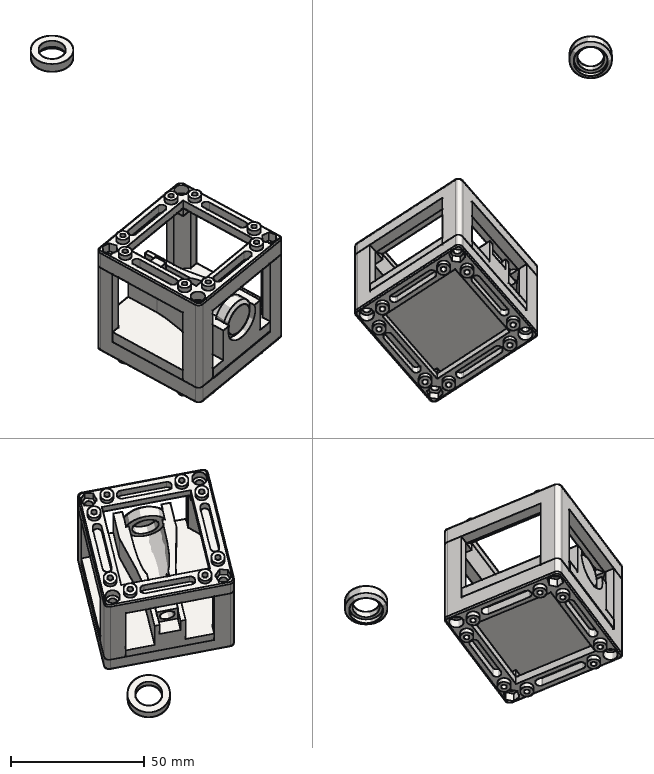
import cadquery as cq
import math

TOTAL_X = 116.6
TOTAL_Y = 53.8
TOTAL_Z = 87.7
CUBE = 49.9
BAR = 7.9
BAR_LIP = 4.0
POST_LIP = 3.5
CORNER_RADIUS = 2.0
EDGE_CHAMFER = 0.6
RECESS_DEPTH = 4.1

STUD_DIAMETER = 5.0
STUD_HOLE_DIAMETER = 2.1
STUD_HEIGHT = 2.2
STUD_SPREAD = 14.3
BAR_LINE = 20.6
SLOT_LENGTH = 21.0
SLOT_WIDTH = 3.5
SCREW_OFFSET = 21.2
SCREW_DIAMETER = 3.1
SCREW_HEAD_DIAMETER = 5.5
NUT_ACROSS_CORNERS = 6.1

PLATE_THICKNESS = 5.0
PLATE_CLEARANCE = 0.1
GUIDE_OVERHANG = 0.2
GUIDE_HEIGHT = 20.0
NARROW_HALF_WIDTH = 6.0
WIDE_HALF_WIDTH = 11.0
FLARE_START = 13.8
FLARE_BEND = 20.4
FLARE_END = 39.3

OPTICAL_AXIS_Z = 0.0
CHANNEL_WIDTH = 8.0
CHANNEL_FLOOR = 4.2
CHANNEL_END = 26.1
HOLDER_WIDTH = 8.3
HOLDER_TOP = 3.8
HOLDER_START = 5.0
HOLDER_LENGTH = 5.1
LED_DIAMETER = 5.7
REFLECTOR_DIAMETER = 14.1
REFLECTOR_TIP = 18.1
REFLECTOR_BEND = 31.5

RING_DIAMETER = 16.0
RING_BORE = 10.1
RING_LENGTH = 5.0
RING_INSET = 1.5
RING_NOSE_DIAMETER = 12.8
RING_NOSE_LENGTH = 1.0
LENS_DIAMETER = 12.6
LENS_THICKNESS = 2.0

HALF = CUBE / 2
WINDOW = CUBE - 2 * BAR
GUIDE_START = -HALF
GUIDE_END = HALF + GUIDE_OVERHANG
PLATE_BOTTOM = -HALF + BAR
GUIDE_TOP = PLATE_BOTTOM + GUIDE_HEIGHT
LOOSE_RING_X = GUIDE_END - TOTAL_X + RING_DIAMETER / 2
LOOSE_RING_Y = TOTAL_Y - HALF - RING_DIAMETER / 2
LOOSE_RING_Z = TOTAL_Z - HALF - STUD_HEIGHT - RING_LENGTH
MOUNTED_NOSE_X = GUIDE_END - RING_INSET
MOUNTED_RING_X = MOUNTED_NOSE_X - RING_LENGTH


def end_plane(offset=0, turn=0):
    """A workplane on the top face of the cube, turned about the cube axis."""
    return cq.Workplane("XY", origin=(0, 0, HALF + offset)).transformed(rotate=(0, 0, turn))


def cylinder_x(diameter, start, end):
    """A cylinder along the optical axis."""
    return (
        cq.Workplane("YZ", origin=(start, 0, OPTICAL_AXIS_Z))
        .circle(diameter / 2)
        .extrude(end - start)
    )


def box_between(x_range, half_width, z_range):
    """A box symmetric in Y."""
    (x0, x1), (z0, z1) = x_range, z_range
    return cq.Workplane().box(x1 - x0, 2 * half_width, z1 - z0).translate(
        ((x0 + x1) / 2, 0, (z0 + z1) / 2)
    )


def make_corner_columns(bottom, height):
    """Square columns in all four corners of the cube."""
    return (
        cq.Workplane("XY", origin=(0, 0, bottom))
        .rect(CUBE - BAR, CUBE - BAR, forConstruction=True)
        .vertices()
        .rect(BAR, BAR)
        .extrude(height)
    )


def make_bars():
    """The four bars, each with a 45 degree bevel along its lower inner edge."""
    bevel = BAR - BAR_LIP
    bars = cq.Workplane().box(CUBE, CUBE, BAR).translate((0, 0, HALF - BAR / 2))
    opening = cq.Workplane("XY", origin=(0, 0, HALF)).rect(WINDOW, WINDOW).extrude(-BAR)
    bevels = (
        cq.Workplane("XY", origin=(0, 0, HALF - BAR))
        .rect(WINDOW + 2 * bevel, WINDOW + 2 * bevel)
        .workplane(offset=bevel)
        .rect(WINDOW, WINDOW)
        .loft(ruled=True)
    )
    return bars.cut(opening).cut(bevels).union(make_corner_columns(HALF - BAR, BAR))


def make_posts():
    """Two posts on one diagonal, with a flat across the inner corner of each."""
    post = (
        cq.Workplane("XY", origin=(0, 0, PLATE_BOTTOM))
        .polyline([
            (HALF, -HALF),
            (HALF, -HALF + BAR),
            (HALF - POST_LIP, -HALF + BAR),
            (HALF - BAR, -HALF + POST_LIP),
            (HALF - BAR, -HALF),
        ])
        .close()
        .extrude(WINDOW)
    )
    return post.union(post.rotate((0, 0, 0), (0, 0, 1), 180))


def make_top_frame():
    envelope = (
        cq.Workplane()
        .box(CUBE, CUBE, CUBE)
        .edges("|Z")
        .fillet(CORNER_RADIUS)
        .faces(">Z")
        .chamfer(EDGE_CHAMFER)
    )
    frame = make_bars().union(make_posts()).intersect(envelope)

    stud_places = []
    for side in (-1, 1):
        for end in (-1, 1):
            stud_places.append((end * STUD_SPREAD, side * BAR_LINE))
            stud_places.append((side * BAR_LINE, end * STUD_SPREAD))
    studs = end_plane().pushPoints(stud_places).circle(STUD_DIAMETER / 2).extrude(STUD_HEIGHT)
    stud_holes = (
        end_plane(STUD_HEIGHT)
        .pushPoints(stud_places)
        .circle(STUD_HOLE_DIAMETER / 2)
        .extrude(-RECESS_DEPTH)
    )
    frame = frame.union(studs).cut(stud_holes)

    for turn in (0, 90, 180, 270):
        slot = end_plane(turn=turn).center(0, BAR_LINE).slot2D(SLOT_LENGTH, SLOT_WIDTH)
        frame = frame.cut(slot.extrude(-RECESS_DEPTH))

    for turn in (45, 135, 225, 315):
        corner = end_plane(turn=turn).center(0, SCREW_OFFSET * math.sqrt(2))
        frame = frame.cut(corner.circle(SCREW_DIAMETER / 2).extrude(-CUBE))
        corner = end_plane(turn=turn).center(0, SCREW_OFFSET * math.sqrt(2))
        if turn in (45, 225):
            recess = corner.circle(SCREW_HEAD_DIAMETER / 2)
        else:
            recess = corner.polygon(6, NUT_ACROSS_CORNERS)
        frame = frame.cut(recess.extrude(-RECESS_DEPTH))
    return frame


def make_light_guide():
    arm_half_width = WINDOW / 2 - PLATE_CLEARANCE
    levels = (PLATE_BOTTOM, PLATE_BOTTOM + PLATE_THICKNESS)
    plate = box_between((GUIDE_START, GUIDE_END), arm_half_width, levels).union(
        box_between((-arm_half_width, arm_half_width), HALF, levels)
    )
    core_half_width = HALF - POST_LIP - PLATE_CLEARANCE
    core = box_between((-core_half_width, core_half_width), core_half_width, levels)
    plate = plate.union(core.edges("|Z").chamfer(core_half_width - arm_half_width))
    start, bend, end = (GUIDE_START + x for x in (FLARE_START, FLARE_BEND, FLARE_END))
    block = (
        cq.Workplane("XY", origin=(0, 0, PLATE_BOTTOM))
        .moveTo(GUIDE_START, -NARROW_HALF_WIDTH)
        .lineTo(start, -NARROW_HALF_WIDTH)
        .bezier([(start, -NARROW_HALF_WIDTH), (bend, -NARROW_HALF_WIDTH), (end, -WIDE_HALF_WIDTH)])
        .lineTo(GUIDE_END, -WIDE_HALF_WIDTH)
        .lineTo(GUIDE_END, WIDE_HALF_WIDTH)
        .lineTo(end, WIDE_HALF_WIDTH)
        .bezier([(end, WIDE_HALF_WIDTH), (bend, NARROW_HALF_WIDTH), (start, NARROW_HALF_WIDTH)])
        .lineTo(GUIDE_START, NARROW_HALF_WIDTH)
        .close()
        .extrude(GUIDE_HEIGHT)
    )
    channel = box_between(
        (GUIDE_START, GUIDE_START + CHANNEL_END),
        CHANNEL_WIDTH / 2,
        (OPTICAL_AXIS_Z - CHANNEL_FLOOR, GUIDE_TOP),
    )
    ring_seat = cylinder_x(RING_DIAMETER, MOUNTED_RING_X, GUIDE_END)
    guide = plate.union(block).cut(channel).cut(make_reflector()).cut(ring_seat)
    return guide.cut(make_led_holder(solid=True))


def make_reflector():
    """The reflector cavity: a bullet shape that is widest where it meets the ring seat."""
    radius = REFLECTOR_DIAMETER / 2
    tip, bend = GUIDE_START + REFLECTOR_TIP, GUIDE_START + REFLECTOR_BEND
    return (
        cq.Workplane("XZ", origin=(0, 0, OPTICAL_AXIS_Z))
        .moveTo(tip, 0)
        .bezier([(tip, 0), (tip, -radius), (bend, -radius), (MOUNTED_RING_X, -radius)])
        .lineTo(MOUNTED_RING_X, 0)
        .close()
        .revolve(360, (0, 0, 0), (1, 0, 0))
    )


def make_led_holder(solid=False):
    start = GUIDE_START + HOLDER_START
    end = start + HOLDER_LENGTH
    holder = box_between(
        (start, end),
        HOLDER_WIDTH / 2,
        (OPTICAL_AXIS_Z - CHANNEL_FLOOR, OPTICAL_AXIS_Z + HOLDER_TOP),
    )
    return holder if solid else holder.cut(cylinder_x(LED_DIAMETER, start, end))


def make_lens_ring():
    outer, nose, bore, lens_radius = (
        d / 2 for d in (RING_DIAMETER, RING_NOSE_DIAMETER, RING_BORE, LENS_DIAMETER)
    )
    return (
        cq.Workplane("XZ")
        .polyline([
            (nose, 0),
            (outer, RING_NOSE_LENGTH),
            (outer, RING_LENGTH),
            (bore, RING_LENGTH),
            (bore, LENS_THICKNESS),
            (lens_radius, LENS_THICKNESS),
            (lens_radius, 0),
        ])
        .close()
        .revolve(360, (0, 0, 0), (0, 1, 0))
    )


def make_lens():
    return cq.Workplane("XY").circle(LENS_DIAMETER / 2).extrude(LENS_THICKNESS)


def mount_on_guide(body):
    """Turn the nose toward +X and put it in the ring seat."""
    return body.rotate((0, 0, 0), (0, 1, 0), -90).translate((MOUNTED_NOSE_X, 0, OPTICAL_AXIS_Z))


top_frame = make_top_frame()
bottom_frame = top_frame.rotate((0, 0, 0), (1, 0, 0), 180)
light_guide = make_light_guide()
led_holder = make_led_holder()
mounted_ring = mount_on_guide(make_lens_ring())
lens = mount_on_guide(make_lens())
loose_ring = make_lens_ring().translate((LOOSE_RING_X, LOOSE_RING_Y, LOOSE_RING_Z))

result = cq.Compound.makeCompound([
    top_frame.val(),
    bottom_frame.val(),
    light_guide.val(),
    led_holder.val(),
    mounted_ring.val(),
    lens.val(),
    loose_ring.val(),
])